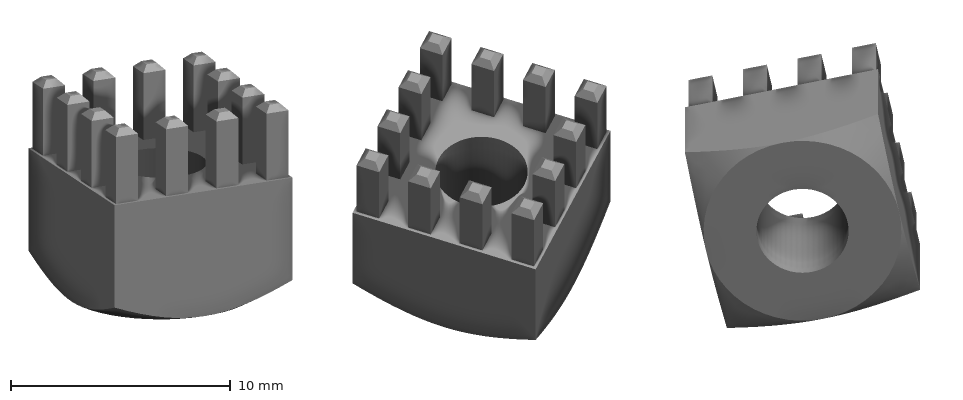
import cadquery as cq
import math

total_height = 9.5
body_side = 9.0
body_height = 5.99
bore_diameter = 4.2

corner_chamfer_angle = 30.0

pins_per_side = 4
pin_pitch = 2.54
pin_width = 1.11
tip_chamfer = 0.29

pin_height = total_height - body_height


def make_body():
    block = cq.Workplane("XY").box(body_side, body_side, body_height, centered=(True, True, False))
    base_radius = body_side / 2
    outer_radius = body_side
    cone_height = (outer_radius - base_radius) * math.tan(math.radians(corner_chamfer_angle))
    envelope = (
        cq.Workplane("XZ")
        .polyline([
            (0, 0),
            (base_radius, 0),
            (outer_radius, cone_height),
            (outer_radius, body_height),
            (0, body_height),
        ])
        .close()
        .revolve(360, (0, 0, 0), (0, 1, 0))
    )
    return block.intersect(envelope).faces(">Z").workplane().hole(bore_diameter)


def pin_positions():
    last = pins_per_side - 1
    return [
        ((column - last / 2) * pin_pitch, (row - last / 2) * pin_pitch)
        for column in range(pins_per_side)
        for row in range(pins_per_side)
        if column in (0, last) or row in (0, last)
    ]


def make_pin():
    pin = cq.Workplane("XY").box(pin_width, pin_width, pin_height, centered=(True, True, False))
    return pin.faces(">Z").chamfer(tip_chamfer).translate((0, 0, body_height))


result = make_body()
pin = make_pin()
for x, y in pin_positions():
    result = result.union(pin.translate((x, y, 0)))